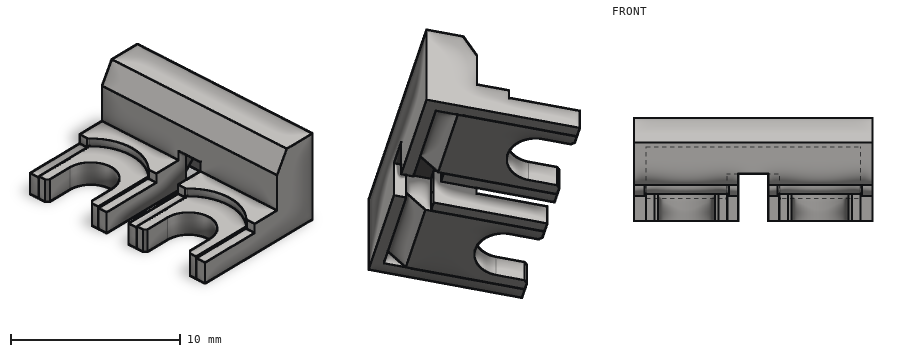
import cadquery as cq
import math


length = 14.1
height = 6.1
depth = 9.35
block_depth = 3.09
top_depth = 2.24
bevel_base_height = 4.64
front_wall = 0.66
rear_wall = 0.75
cavity_front = front_wall - block_depth
cavity_depth = block_depth - front_wall - rear_wall

notch_width = 1.75
notch_height = 2.79
ledge_depth = 5.03
ledge_height = 2.15
rail_height = 1.5

fork_pitch = 7.88
fork_centers = (-fork_pitch / 2, fork_pitch / 2)
fork_width = 4.77
fork_thickness = 1.6
side_gap = 0.03
channel_width = fork_width + 2 * side_gap
slot_radius = 1.69
slot_center_y = -7.42
tip_chamfer = 0.2
bend_chamfer = 1.34
bridge_length = fork_pitch + fork_width
bridge_top = notch_height + fork_thickness

recess_radius = 3.41
recess_arc_half_width = 2.37
recess_mouth_half_width = 2.5


def box(width, y_front, y_length, z_bottom, z_height, center_x=0):
    """Box centred on center_x, running back from y_front and up from z_bottom."""
    corner = (center_x - width / 2, y_front, z_bottom)
    return cq.Workplane("XY").box(width, y_length, z_height, centered=False).translate(corner)


def make_profile():
    """Side outline of the block, ledge and rails, extruded along the full length."""
    outline = [
        (0, 0),
        (0, height),
        (-top_depth, height),
        (-block_depth, bevel_base_height),
        (-block_depth, ledge_height),
        (-ledge_depth, ledge_height),
        (-ledge_depth, rail_height),
        (-depth, rail_height),
        (-depth, 0),
    ]
    return cq.Workplane("YZ").polyline(outline).close().extrude(length / 2, both=True)


def make_recess(center_x):
    """Arc cut above the fork, joined to the ledge edge by a short straight cut at each end."""
    arc_end_y = slot_center_y + math.sqrt(recess_radius**2 - recess_arc_half_width**2)
    return (
        cq.Workplane("XY", origin=(center_x, 0, fork_thickness))
        .moveTo(-recess_mouth_half_width, -ledge_depth)
        .lineTo(-recess_arc_half_width, arc_end_y)
        .threePointArc((0, slot_center_y + recess_radius), (recess_arc_half_width, arc_end_y))
        .lineTo(recess_mouth_half_width, -ledge_depth)
        .close()
        .extrude(ledge_height - fork_thickness)
    )


def make_housing():
    """Hollow housing, open below, with a channel and a recess for each fork."""
    body = make_profile()
    body = body.cut(box(notch_width, -depth, depth, 0, notch_height))
    body = body.cut(box(bridge_length, cavity_front, cavity_depth, 0, bridge_top))
    for center_x in fork_centers:
        channel_length = depth + cavity_front
        body = body.cut(box(channel_width, -depth, channel_length, 0, fork_thickness, center_x))
        body = body.cut(make_recess(center_x))
    return body


def make_fork_slot(center_x):
    """Round-ended open slot, widened by a chamfer at the fork tips."""
    tip_half_width = slot_radius + tip_chamfer
    return (
        cq.Workplane("XY")
        .moveTo(-tip_half_width, -depth)
        .lineTo(-slot_radius, -depth + tip_chamfer)
        .lineTo(-slot_radius, slot_center_y)
        .threePointArc((0, slot_center_y + slot_radius), (slot_radius, slot_center_y))
        .lineTo(slot_radius, -depth + tip_chamfer)
        .lineTo(tip_half_width, -depth)
        .close()
        .extrude(fork_thickness)
        .translate((center_x, 0, 0))
    )


def make_fork(center_x):
    """Flat fork with an upright leg, its outer bend cut off at 45 degrees."""
    outline = [
        (-depth, 0),
        (-rear_wall - bend_chamfer, 0),
        (-rear_wall, bend_chamfer),
        (-rear_wall, bridge_top),
        (cavity_front, bridge_top),
        (cavity_front, fork_thickness),
        (-depth, fork_thickness),
    ]
    leg = cq.Workplane("YZ").polyline(outline).close().extrude(fork_width / 2, both=True)
    return leg.translate((center_x, 0, 0)).cut(make_fork_slot(center_x))


def make_bridge():
    """Crossbar above the notch, joined to the legs of both forks."""
    body = box(bridge_length, cavity_front, cavity_depth, notch_height, fork_thickness)
    for center_x in fork_centers:
        body = body.union(make_fork(center_x))
    return body


housing = make_housing()
bridge = make_bridge()

result = cq.Compound.makeCompound([housing.solids().val(), bridge.solids().val()])